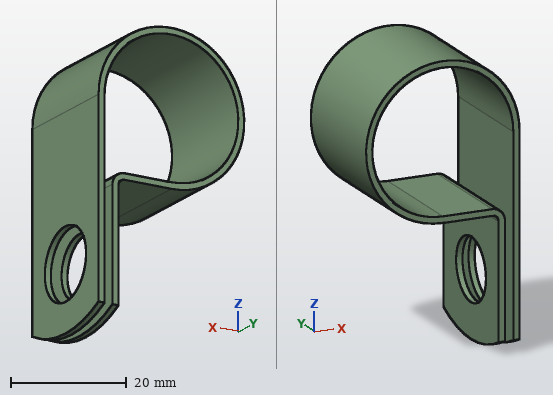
import cadquery as cq
import math

loop_diameter = 29.4
strip_thickness = 1.2
strip_width = 22.25
total_height = 55.15
leg_gap = 1.6
bend_inner_radius = 1.2
short_leg_hole_diameter = 11.9
long_leg_hole_diameter = 13.8
hole_height = 12.7
tip_rise = 2.65

outer_radius = loop_diameter / 2
inner_radius = outer_radius - strip_thickness
bend_outer_radius = bend_inner_radius + strip_thickness
tip_z = outer_radius - total_height
short_leg_outer_x = inner_radius - leg_gap
short_leg_inner_x = short_leg_outer_x - strip_thickness
bend_x = short_leg_outer_x - bend_outer_radius
bend_z = -inner_radius - bend_outer_radius
half_width = strip_width / 2
diagonal = math.sqrt(0.5)


def bent_strip():
    """Strip of constant thickness: long leg, loop, shelf, bend and short leg."""
    profile = (
        cq.Workplane("XZ")
        .moveTo(outer_radius, tip_z)
        .lineTo(outer_radius, 0)
        .threePointArc((-outer_radius * diagonal, outer_radius * diagonal), (0, -outer_radius))
        .lineTo(bend_x, -outer_radius)
        .threePointArc(
            (bend_x + bend_inner_radius * diagonal, bend_z + bend_inner_radius * diagonal),
            (short_leg_inner_x, bend_z),
        )
        .lineTo(short_leg_inner_x, tip_z)
        .lineTo(short_leg_outer_x, tip_z)
        .lineTo(short_leg_outer_x, bend_z)
        .threePointArc(
            (bend_x + bend_outer_radius * diagonal, bend_z + bend_outer_radius * diagonal),
            (bend_x, -inner_radius),
        )
        .lineTo(0, -inner_radius)
        .threePointArc((-inner_radius * diagonal, inner_radius * diagonal), (inner_radius, 0))
        .lineTo(inner_radius, tip_z)
        .close()
    )
    return profile.extrude(half_width, both=True)


def rounded_end_outline():
    """Side outline of the clamp, whose lower end is a shallow arc, swept along X."""
    return (
        cq.Workplane("YZ")
        .moveTo(-half_width, outer_radius)
        .lineTo(-half_width, tip_z + tip_rise)
        .threePointArc((0, tip_z), (half_width, tip_z + tip_rise))
        .lineTo(half_width, outer_radius)
        .close()
        .extrude(outer_radius, both=True)
    )


def bolt_hole(leg_inner_x, diameter):
    """Cylinder along X through the single leg that starts at leg_inner_x."""
    return (
        cq.Workplane("YZ", origin=(leg_inner_x, 0, tip_z + hole_height))
        .circle(diameter / 2)
        .extrude(strip_thickness)
    )


result = (
    bent_strip()
    .intersect(rounded_end_outline())
    .cut(bolt_hole(short_leg_inner_x, short_leg_hole_diameter))
    .cut(bolt_hole(inner_radius, long_leg_hole_diameter))
)